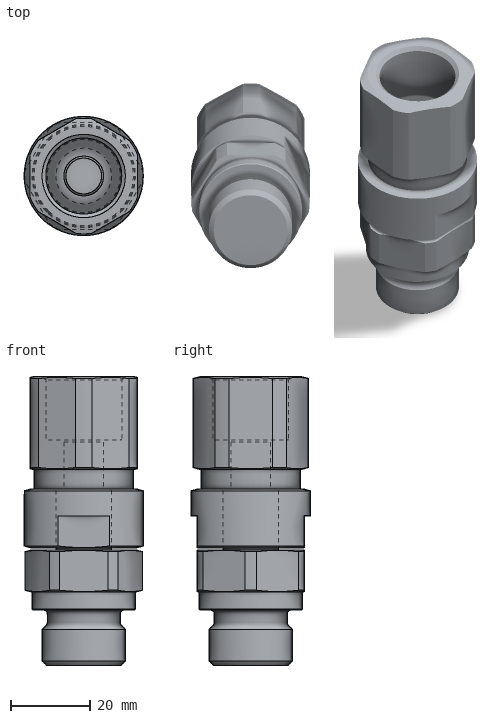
import cadquery as cq
import math

overall_height = 72.8
across_flats = 27.0
chamfer_slope = math.tan(math.radians(15))
cutter_size = 100.0

thread_radius = 20.955 / 2
thread_end_chamfer = 1.2
thread_top = 9.15
relief_radius = 18.4 / 2
relief_fillet = 1.0
collar_radius = 26.0 / 2
collar_bottom = 14.0
collar_chamfer = 0.2
stud_hex_bottom = 18.5
stud_hex_top = 29.15
stud_hex_corner_radius = 29.6 / 2
spindle_radius = 14.0 / 2
pin_radius = 10.0 / 2
pin_chamfer = 0.5

swivel_gap = 0.45
sleeve_radius = 30.0 / 2
sleeve_end_radius = 26.2 / 2
sleeve_bottom = stud_hex_top + swivel_gap
sleeve_top = 44.5
flat_top = 37.7
neck_radius = 25.0 / 2
housing_hex_bottom = 49.3
housing_hex_corner_radius = 29.1 / 2
bore_radius = 19.13 / 2
bore_mouth_radius = thread_radius
bore_depth = 16.0
bore_floor_fillet = 0.4
bore_floor = overall_height - bore_depth
spindle_shoulder = sleeve_top


def cylinder(radius, bottom, top):
    """Cylinder on the Z axis between two heights."""
    return cq.Workplane("XY").workplane(offset=bottom).circle(radius).extrude(top - bottom)


def turned_drum(radius, end_radius, bottom, top):
    """Cylinder whose two ends slope in to a smaller end radius."""
    rise = (radius - end_radius) * chamfer_slope
    outline = [
        (0, bottom),
        (end_radius, bottom),
        (radius, bottom + rise),
        (radius, top - rise),
        (end_radius, top),
        (0, top),
    ]
    return cq.Workplane("XZ").polyline(outline).close().revolve(360, (0, 0), (0, 1))


def hexagon_prism(bottom, top, first_flat_angle):
    """Hexagonal prism with one flat facing the given angle from +X, in degrees."""
    corner_diameter = across_flats / math.cos(math.pi / 6)
    prism = cq.Workplane("XY").workplane(offset=bottom).polygon(6, corner_diameter).extrude(top - bottom)
    return prism.rotate((0, 0, 0), (0, 0, 1), first_flat_angle - 30)


def turned_hexagon(corner_radius, end_radius, bottom, top, first_flat_angle):
    """Hexagon with turned-down corners and sloping end chamfers."""
    drum = turned_drum(corner_radius, end_radius, bottom, top)
    return drum.intersect(hexagon_prism(bottom, top, first_flat_angle))


def threaded_end():
    """Stud thread, rounded relief groove and collar as one turned piece."""
    arc_height = relief_fillet * math.sin(math.pi / 4)
    arc_depth = relief_fillet * (1 - math.cos(math.pi / 4))
    cone_top_radius = relief_radius + arc_depth
    cone_top = thread_top + thread_radius - cone_top_radius
    relief_bottom = cone_top + arc_height
    mid_height = relief_bottom - relief_fillet * math.sin(math.pi / 8)
    mid_radius = relief_radius + relief_fillet * (1 - math.cos(math.pi / 8))
    flare_bottom = collar_bottom - relief_fillet
    flare_mid_radius = cone_top_radius
    flare_mid_height = flare_bottom + arc_height
    profile = (
        cq.Workplane("XZ")
        .moveTo(0, 0)
        .lineTo(thread_radius - thread_end_chamfer, 0)
        .lineTo(thread_radius, thread_end_chamfer)
        .lineTo(thread_radius, thread_top)
        .lineTo(cone_top_radius, cone_top)
        .threePointArc((mid_radius, mid_height), (relief_radius, relief_bottom))
        .lineTo(relief_radius, flare_bottom)
        .threePointArc((flare_mid_radius, flare_mid_height), (relief_radius + relief_fillet, collar_bottom))
        .lineTo(collar_radius - collar_chamfer, collar_bottom)
        .lineTo(collar_radius, collar_bottom + collar_chamfer)
        .lineTo(collar_radius, stud_hex_bottom)
        .lineTo(0, stud_hex_bottom)
        .close()
    )
    return profile.revolve(360, (0, 0), (0, 1))


def make_stud():
    hexagon = turned_hexagon(
        stud_hex_corner_radius, collar_radius, stud_hex_bottom, stud_hex_top, 90
    )
    spindle = cylinder(spindle_radius, stud_hex_top, spindle_shoulder)
    pin = cylinder(pin_radius, spindle_shoulder, bore_floor).faces(">Z").chamfer(pin_chamfer)
    return threaded_end().union(hexagon).union(spindle).union(pin)


def wrench_flat_cutter(side):
    """Block that leaves a flat on the +Y (side = 1) or -Y (side = -1) face of the sleeve."""
    centre_y = side * (across_flats + cutter_size) / 2
    block = cq.Workplane("XY").workplane(offset=flat_top - cutter_size).center(0, centre_y)
    return block.rect(cutter_size, cutter_size).extrude(cutter_size)


def make_sleeve():
    sleeve = turned_drum(sleeve_radius, sleeve_end_radius, sleeve_bottom, sleeve_top)
    for side in (-1, 1):
        sleeve = sleeve.cut(wrench_flat_cutter(side))
    return sleeve


def thread_bore():
    """Blind bore with a 45 degree mouth chamfer and a rounded floor corner."""
    bore = cylinder(bore_radius, bore_floor, overall_height).faces("<Z").edges().fillet(bore_floor_fillet)
    mouth_depth = bore_mouth_radius - bore_radius
    mouth = (
        cq.Workplane("XY")
        .workplane(offset=overall_height)
        .circle(bore_mouth_radius)
        .workplane(offset=-mouth_depth)
        .circle(bore_radius)
        .loft()
    )
    return bore.union(mouth)


def make_housing():
    hexagon = turned_hexagon(
        housing_hex_corner_radius, neck_radius, housing_hex_bottom, overall_height, 0
    )
    neck = cylinder(neck_radius, sleeve_top, housing_hex_bottom)
    spindle_hole = cylinder(spindle_radius, sleeve_bottom, spindle_shoulder)
    pin_hole = cylinder(pin_radius, spindle_shoulder, bore_floor)
    body = make_sleeve().union(neck).union(hexagon)
    return body.cut(thread_bore()).cut(spindle_hole).cut(pin_hole)


stud = make_stud()
housing = make_housing()
result = cq.Compound.makeCompound([housing.val(), stud.val()])